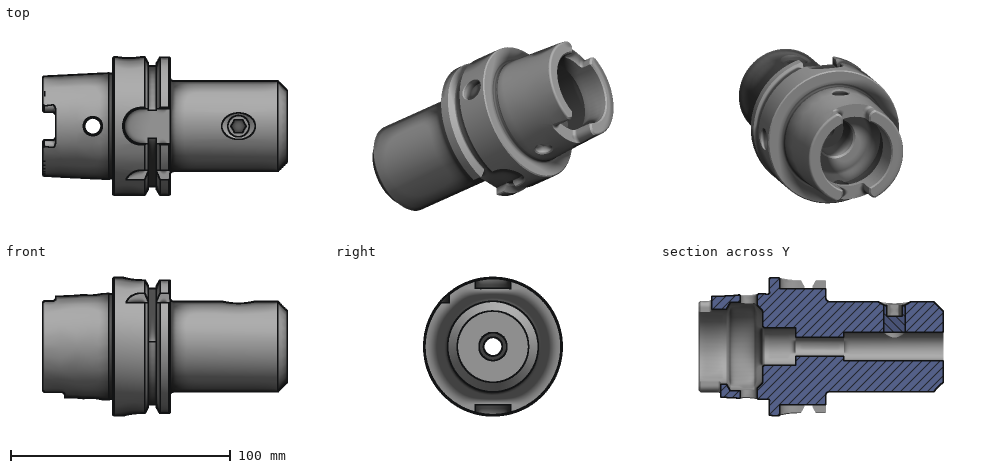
import cadquery as cq
import math


shank_length = 32.0
gauge_distance = 6.3
gauge_radius = 24.005
taper_slope = 0.05
taper_end_x = -2.0
relief_radius = 48.04 / 2
relief_start_x = -1.35
undercut_start_x = -0.5
undercut_arc_radius = 0.65
undercut_exit_angle = 14.0
nose_fillet = 1.0

flange_radius = 63.0 / 2
flange_width = 26.0
flange_chamfer = 0.5
groove_bottom_radius = 27.5
groove_left_x = 16.1
groove_right_x = 19.8
groove_flank_width = 1.65
groove_flank_height = groove_flank_width * math.tan(math.radians(60))

body_radius = 41.27 / 2
body_end_x = 79.38
body_end_chamfer = 4.4
body_base_fillet = 1.5

cavity_mouth_radius = 34.0 / 2
cavity_mouth_chamfer = 0.6
clamp_radius = 40.0 / 2
clamp_face_x = -19.3
clamp_face_length = (clamp_radius - cavity_mouth_radius) * math.tan(math.radians(30))
cavity_cone_start_x = -6.5
cavity_cone_drop = 3.0
cavity_floor_fillet = 2.0

coolant_thread_radius = 16.92 / 2
coolant_countersink_radius = 18.5 / 2
coolant_thread_end_x = 12.0
axial_hole_diameter = 8.4
tool_bore_diameter = 12.7
tool_bore_depth = 45.24

slot_half_width = 12.54 / 2
slot_corner_radius = 3.0
slot_corner_height = 17.8
slot_floor_fillet = 1.35
slot_depths = {1: 5.9, -1: 10.0}
nose_edge_chamfer = 0.8

access_hole_x = -9.15
access_hole_diameter = 7.5
access_hole_chamfer = 0.55

keyway_width = 16.0
keyway_floor_height = 26.5
keyway_centre_x = 13.05
keyway_chamfer = 0.55
notch_offset = 20.0
notch_radius = 8.0
groove_flat_angle = 138.0
groove_flat_distance = 21.8
chip_hole_x = 7.3
chip_hole_diameter = 10.0
chip_hole_depth = 4.6
chip_hole_chamfer = 0.5

screw_x = 57.15
screw_diameter = 9.73
screw_countersink_diameter = 15.24
screw_countersink_angle = 120.0
screw_socket_across_flats = 6.0
screw_socket_depth = 5.0
screw_tip_z = tool_bore_diameter / 2
screw_top_z = body_radius - (screw_countersink_diameter - screw_diameter) / 2 / math.tan(
    math.radians(screw_countersink_angle / 2)
)

rim_tolerance = 0.01
clear = 40.0


def taper_radius(x):
    return gauge_radius + taper_slope * (x + gauge_distance)


def axial_cylinder(start_x, end_x, diameter):
    return cq.Workplane("YZ", origin=(start_x, 0, 0)).circle(diameter / 2).extrude(end_x - start_x)


def turned_body():
    undercut_centre_r = relief_radius + undercut_arc_radius
    exit_angle = math.radians(undercut_exit_angle)
    undercut_bottom_x = undercut_start_x + undercut_arc_radius * math.cos(exit_angle)
    undercut_bottom_r = undercut_centre_r + undercut_arc_radius * math.sin(exit_angle)
    undercut_exit_r = undercut_bottom_r + undercut_bottom_x / math.tan(exit_angle)
    flank_bottom_r = flange_radius - groove_flank_height
    profile = (
        cq.Workplane("XY")
        .moveTo(-shank_length, 0)
        .lineTo(-shank_length, taper_radius(-shank_length))
        .lineTo(taper_end_x, taper_radius(taper_end_x))
        .lineTo(relief_start_x, relief_radius)
        .lineTo(undercut_start_x, relief_radius)
        .radiusArc((undercut_bottom_x, undercut_bottom_r), -undercut_arc_radius)
        .lineTo(0, undercut_exit_r)
        .lineTo(0, flange_radius - flange_chamfer)
        .lineTo(flange_chamfer, flange_radius)
        .lineTo(groove_left_x - groove_flank_width, flange_radius)
        .lineTo(groove_left_x, flank_bottom_r)
        .lineTo(groove_left_x, groove_bottom_radius)
        .lineTo(groove_right_x, groove_bottom_radius)
        .lineTo(groove_right_x, flank_bottom_r)
        .lineTo(groove_right_x + groove_flank_width, flange_radius)
        .lineTo(flange_width - flange_chamfer, flange_radius)
        .lineTo(flange_width, flange_radius - flange_chamfer)
        .lineTo(flange_width, body_radius + body_base_fillet)
        .radiusArc((flange_width + body_base_fillet, body_radius), -body_base_fillet)
        .lineTo(body_end_x - body_end_chamfer, body_radius)
        .lineTo(body_end_x, body_radius - body_end_chamfer)
        .lineTo(body_end_x, 0)
        .close()
    )
    return profile.revolve(360, (0, 0, 0), (1, 0, 0))


def drawbar_cavity():
    floor_cone_angle = math.radians(45)
    cone_end_x = cavity_cone_start_x + cavity_cone_drop
    cone_end_radius = clamp_radius - cavity_cone_drop
    cavity_floor_x = cone_end_x + cavity_floor_fillet * (1 - math.cos(floor_cone_angle))
    cavity_floor_radius = cone_end_radius - cavity_floor_fillet * math.sin(floor_cone_angle)
    countersink_depth = coolant_countersink_radius - coolant_thread_radius
    profile = (
        cq.Workplane("XY")
        .moveTo(-shank_length, 0)
        .lineTo(-shank_length, cavity_mouth_radius + cavity_mouth_chamfer)
        .lineTo(cavity_mouth_chamfer - shank_length, cavity_mouth_radius)
        .lineTo(clamp_face_x, cavity_mouth_radius)
        .lineTo(clamp_face_x + clamp_face_length, clamp_radius)
        .lineTo(cavity_cone_start_x, clamp_radius)
        .lineTo(cone_end_x, cone_end_radius)
        .radiusArc((cavity_floor_x, cavity_floor_radius), cavity_floor_fillet)
        .lineTo(cavity_floor_x, coolant_countersink_radius)
        .lineTo(cavity_floor_x + countersink_depth, coolant_thread_radius)
        .lineTo(coolant_thread_end_x, coolant_thread_radius)
        .lineTo(coolant_thread_end_x, 0)
        .close()
    )
    return profile.revolve(360, (0, 0, 0), (1, 0, 0))


def drive_slot_outline(start_x):
    """Closed outline across the axis: parallel walls that flare out through rounded corners."""
    flare_half_width = slot_half_width + slot_corner_radius
    flare_height = slot_corner_height + slot_corner_radius
    return (
        cq.Workplane("YZ", origin=(start_x, 0, 0))
        .moveTo(-slot_half_width, 0)
        .lineTo(-slot_half_width, slot_corner_height)
        .radiusArc((-flare_half_width, flare_height), -slot_corner_radius)
        .lineTo(-clear, flare_height)
        .lineTo(-clear, clear)
        .lineTo(clear, clear)
        .lineTo(clear, flare_height)
        .lineTo(flare_half_width, flare_height)
        .radiusArc((slot_half_width, slot_corner_height), -slot_corner_radius)
        .lineTo(slot_half_width, 0)
        .close()
    )


def drive_slot(side):
    """Slot in the nose with a filleted floor and chamfered front edges."""
    slot = (
        drive_slot_outline(-shank_length)
        .extrude(slot_depths[side])
        .faces(">X")
        .edges()
        .fillet(slot_floor_fillet)
    )
    chamfered_mouth = drive_slot_outline(nose_edge_chamfer - shank_length).extrude(
        -nose_edge_chamfer, taper=-45
    )
    slot = slot.union(chamfered_mouth)
    return slot if side > 0 else slot.mirror("XY")


def access_hole():
    """Hole across the shank along Z."""
    return (
        cq.Workplane("XY", origin=(access_hole_x, 0, -clear))
        .circle(access_hole_diameter / 2)
        .extrude(2 * clear)
    )


def is_access_hole_rim(edge):
    """True for the rims of the access hole on the outside of the taper."""
    middle = edge.positionAt(0.5)
    distance = math.hypot(middle.x - access_hole_x, middle.y)
    on_hole_wall = abs(distance - access_hole_diameter / 2) < rim_tolerance
    return on_hole_wall and abs(middle.z) > (clamp_radius + taper_radius(access_hole_x)) / 2


def keyway(side):
    """Round-ended keyway that runs out of the rear of the flange."""
    slot = (
        cq.Workplane("XY", origin=(0, 0, keyway_floor_height))
        .moveTo(flange_width, keyway_width / 2)
        .lineTo(keyway_centre_x, keyway_width / 2)
        .threePointArc(
            (keyway_centre_x - keyway_width / 2, 0), (keyway_centre_x, -keyway_width / 2)
        )
        .lineTo(flange_width, -keyway_width / 2)
        .close()
        .extrude(clear)
    )
    return slot if side > 0 else slot.mirror("XY")


def is_keyway_rim(edge):
    """True for the keyway edges that lie on the flange's outer surface."""
    middle = edge.positionAt(0.5)
    radius = math.hypot(middle.y, middle.z)
    on_outer_surface = abs(radius - flange_radius) < rim_tolerance
    return on_outer_surface and abs(middle.y) < keyway_width / 2 + rim_tolerance


def notch():
    """Corner notch on the -Y, +Z side with a flat floor and a round front end."""
    centre_y = -notch_offset - notch_radius
    return (
        cq.Workplane("XY", origin=(0, 0, notch_offset))
        .moveTo(flange_width, -notch_offset)
        .lineTo(keyway_centre_x, -notch_offset)
        .threePointArc(
            (keyway_centre_x - notch_radius, centre_y), (keyway_centre_x, centre_y - notch_radius)
        )
        .lineTo(flange_width, centre_y - notch_radius)
        .close()
        .extrude(clear)
    )


def groove_flat():
    """Flat cut across the bottom of the gripper groove."""
    groove_width = groove_right_x - groove_left_x
    return (
        cq.Workplane("XY")
        .box(groove_width, clear, 2 * clear, centered=(False, False, True))
        .translate((groove_left_x, groove_flat_distance, 0))
        .rotate((0, 0, 0), (1, 0, 0), groove_flat_angle)
    )


def chip_hole():
    """Blind hole from the +Y side of the flange with a chamfered mouth."""
    hole_radius = chip_hole_diameter / 2
    bottom_y = flange_radius - chip_hole_depth
    hole = cq.Workplane("XZ", origin=(chip_hole_x, bottom_y, 0)).circle(hole_radius).extrude(-chip_hole_depth)
    mouth = cq.Solid.makeCone(
        hole_radius,
        hole_radius + chip_hole_chamfer,
        chip_hole_chamfer,
        cq.Vector(chip_hole_x, flange_radius - chip_hole_chamfer, 0),
        cq.Vector(0, 1, 0),
    )
    return hole.union(cq.Workplane(obj=mouth))


def screw_hole():
    half_angle = math.radians(screw_countersink_angle / 2)
    cone_rise = body_radius - screw_top_z
    hole = (
        cq.Workplane("XY", origin=(screw_x, 0, 0)).circle(screw_diameter / 2).extrude(screw_top_z)
    )
    cone = cq.Solid.makeCone(
        screw_diameter / 2,
        screw_diameter / 2 + 2 * cone_rise * math.tan(half_angle),
        2 * cone_rise,
        cq.Vector(screw_x, 0, screw_top_z),
        cq.Vector(0, 0, 1),
    )
    return hole.union(cq.Workplane(obj=cone))


def build_holder():
    body = turned_body()
    body = body.faces("<X").edges().fillet(nose_fillet)
    body = body.cut(drawbar_cavity())
    for side in slot_depths:
        body = body.cut(drive_slot(side))
    for side in (1, -1):
        body = body.cut(keyway(side))
    body = body.edges().filter(is_keyway_rim).chamfer(keyway_chamfer)
    body = body.cut(notch()).cut(groove_flat()).cut(chip_hole())
    body = body.cut(access_hole())
    body = body.edges().filter(is_access_hole_rim).chamfer(access_hole_chamfer)
    body = body.cut(axial_cylinder(coolant_thread_end_x, body_end_x, axial_hole_diameter))
    body = body.cut(axial_cylinder(body_end_x - tool_bore_depth, body_end_x, tool_bore_diameter))
    return body.cut(screw_hole())


def build_clamp_screw():
    screw = (
        cq.Workplane("XY", origin=(screw_x, 0, screw_tip_z))
        .circle(screw_diameter / 2)
        .extrude(screw_top_z - screw_tip_z)
    )
    socket = (
        cq.Workplane("XY", origin=(screw_x, 0, screw_top_z - screw_socket_depth))
        .polygon(6, screw_socket_across_flats / math.cos(math.pi / 6))
        .extrude(screw_socket_depth)
    )
    return screw.cut(socket)


holder = build_holder()
clamp_screw = build_clamp_screw()
result = cq.Compound.makeCompound([holder.val(), clamp_screw.val()])